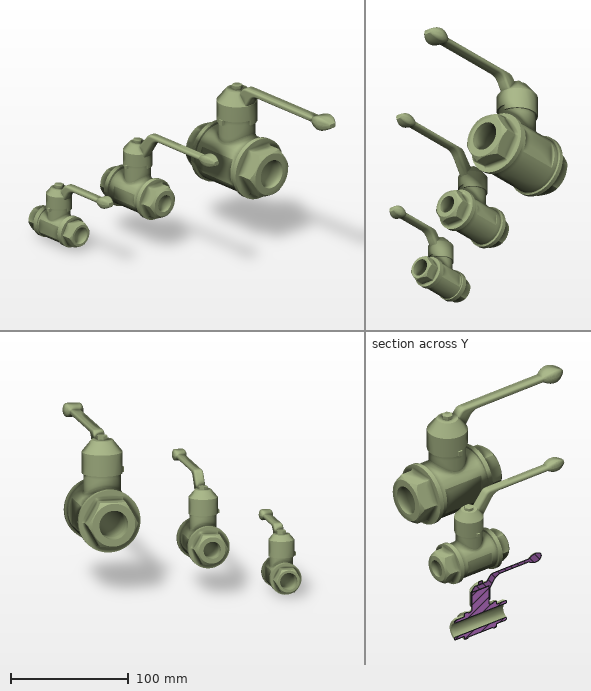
import cadquery as cq
import math

VALVES = {
    "three_eighths": dict(
        position=(-70.5, -140.0, -44.5),
        bore_diameter=15.0, body_diameter=25.0, half_length=28.0,
        flange_diameter=27.0, flange_width=4.5, flange_outer_x=17.6,
        hex_flats=19.8, hex_end_diameter=19.2, hex_root_fillet=0,
        plate_length=23.5, plate_y=11.0,
        neck_diameter=20.0, neck_fillet=1.5,
        tab_width=2.6, tab_height=3.0,
        cap_diameter=22.0, cap_bottom=16.7, cap_shoulder=31.0, cap_top=35.9, cap_top_diameter=14.0,
        screw_flats=7.5, screw_height=2.9,
        lever_width=8.4, lever_thickness=4.0, lever_height=40.3, lever_edge_fillet=1.95,
        upper_bend_x=11.2, lower_bend_x=17.6,
        knob_start=52.0, knob_end=66.3, knob_width=12.0, knob_thickness=9.2,
        knob_tip_width=5.3, knob_tip_thickness=3.7,
        knob_flat_width=6.2, knob_tip_flat_width=2.6,
    ),
    "half": dict(
        position=(-38.0, -79.3, -19.8),
        bore_diameter=15.0, body_diameter=32.0, half_length=34.5,
        flange_diameter=36.0, flange_width=4.0, flange_outer_x=22.5,
        hex_flats=25.3, hex_end_diameter=23.0, hex_root_fillet=2.0,
        plate_length=25.8, plate_y=15.0,
        neck_diameter=23.0, neck_fillet=2.5,
        tab_width=2.6, tab_height=3.0,
        cap_diameter=25.0, cap_bottom=25.0, cap_shoulder=39.5, cap_top=46.2, cap_top_diameter=13.6,
        screw_flats=7.5, screw_height=2.5,
        lever_width=8.4, lever_thickness=4.0, lever_height=57.2, lever_edge_fillet=1.95,
        upper_bend_x=17.5, lower_bend_x=25.0,
        knob_start=82.3, knob_end=100.4, knob_width=12.0, knob_thickness=9.7,
        knob_tip_width=5.3, knob_tip_thickness=3.7,
        knob_flat_width=6.8, knob_tip_flat_width=2.6,
    ),
    "one_inch": dict(
        position=(0.0, 0.0, 0.0),
        bore_diameter=25.0, body_diameter=50.0, half_length=44.3,
        flange_diameter=54.0, flange_width=4.0, flange_outer_x=28.5,
        hex_flats=38.3, hex_end_diameter=37.2, hex_root_fillet=2.0,
        plate_length=38.7, plate_y=22.0,
        neck_diameter=32.0, neck_fillet=2.5,
        tab_width=3.7, tab_height=4.6,
        cap_diameter=35.0, cap_bottom=36.5, cap_shoulder=55.0, cap_top=65.4, cap_top_diameter=18.5,
        screw_flats=8.4, screw_height=3.5,
        lever_width=10.0, lever_thickness=4.6, lever_height=68.5, lever_edge_fillet=1.8,
        upper_bend_x=13.0, lower_bend_x=24.5,
        knob_start=100.0, knob_end=121.7, knob_width=17.6, knob_thickness=11.7,
        knob_tip_width=6.5, knob_tip_thickness=3.7,
        knob_flat_width=10.5, knob_tip_flat_width=4.5,
    ),
}

TAB_PROJECTION = 1.3
UPPER_SLOPE = math.radians(51)
LOWER_SLOPE = math.radians(56)
UPPER_BEND_RADIUS = 6.5
LOWER_BEND_RADIUS = 9.7
SELECT_MARGIN = 0.2
LEVER_ROOT_DEPTH = 3.3


def x_cylinder(diameter, x_start, x_end):
    return cq.Workplane("YZ", origin=(x_start, 0, 0)).circle(diameter / 2).extrude(x_end - x_start)


def hex_end(v):
    """Hexagonal pipe end on +X with corners on the Y axis and a 45 degree end chamfer."""
    across_corners = v["hex_flats"] / math.cos(math.pi / 6)
    root_x = v["flange_outer_x"] - v["flange_width"] / 2
    hex_length = v["half_length"] - root_x
    hexagon = (
        cq.Workplane("YZ", origin=(root_x, 0, 0))
        .polygon(6, across_corners)
        .extrude(hex_length)
    )
    end_radius = v["hex_end_diameter"] / 2
    chamfer_cone = (
        cq.Workplane("XY")
        .polyline([
            (root_x, 0),
            (root_x, end_radius + hex_length),
            (v["half_length"], end_radius),
            (v["half_length"], 0),
        ])
        .close()
        .revolve(360, (0, 0, 0), (1, 0, 0))
    )
    flange = x_cylinder(v["flange_diameter"], v["flange_outer_x"] - v["flange_width"], v["flange_outer_x"])
    end = flange.union(hexagon.intersect(chamfer_cone))
    if v["hex_root_fillet"]:
        root_plane = cq.selectors.BoxSelector(
            (v["flange_outer_x"] - SELECT_MARGIN, -across_corners, -across_corners),
            (v["flange_outer_x"] + SELECT_MARGIN, across_corners, across_corners),
        )
        end = end.edges(root_plane).edges("%LINE").fillet(v["hex_root_fillet"])
    return end


def make_housing(v):
    flange_inner_x = v["flange_outer_x"] - v["flange_width"]
    barrel = x_cylinder(v["body_diameter"], -flange_inner_x, flange_inner_x)
    neck = cq.Workplane("XY").circle(v["neck_diameter"] / 2).extrude(v["cap_shoulder"])
    housing = barrel.union(neck)
    reach = v["neck_diameter"] / 2 + SELECT_MARGIN
    neck_foot = cq.selectors.BoxSelector(
        (-reach, -reach, SELECT_MARGIN),
        (reach, reach, v["body_diameter"] / 2 + SELECT_MARGIN),
        boundingbox=True,
    )
    housing = housing.edges(neck_foot).fillet(v["neck_fillet"])

    for side in (-1, 1):
        cut_depth = v["body_diameter"]
        plate_cut = cq.Workplane("XY").box(v["plate_length"], cut_depth, v["body_diameter"])
        housing = housing.cut(plate_cut.translate((0, side * (v["plate_y"] + cut_depth / 2), 0)))

    right_end = hex_end(v)
    housing = housing.union(right_end).union(right_end.mirror("YZ"))
    housing = housing.cut(x_cylinder(v["bore_diameter"], -v["half_length"], v["half_length"]))

    tab_reach = v["cap_diameter"] / 2 + TAB_PROJECTION
    tab = cq.Workplane("XY", origin=(0, -tab_reach / 2, v["cap_bottom"])).box(
        v["tab_width"], tab_reach, v["tab_height"], centered=(True, True, False)
    )
    return housing.union(tab)


def make_lever_arm(v):
    """Straight bar that bends down into the cap, with rounded long edges."""
    top = v["lever_height"] + v["lever_thickness"] / 2
    bottom = v["lever_height"] - v["lever_thickness"] / 2
    root = v["cap_shoulder"] - LEVER_ROOT_DEPTH
    upper_root_x = v["upper_bend_x"] - (top - root) / math.tan(UPPER_SLOPE)
    lower_root_x = v["lower_bend_x"] - (bottom - root) / math.tan(LOWER_SLOPE)
    arm = (
        cq.Workplane("XZ")
        .polyline([
            (upper_root_x, root),
            (v["upper_bend_x"], top),
            (v["knob_start"], top),
            (v["knob_start"], bottom),
            (v["lower_bend_x"], bottom),
            (lower_root_x, root),
        ])
        .close()
        .extrude(v["lever_width"] / 2, both=True)
    )
    arm = arm.edges(cq.NearestToPointSelector((v["upper_bend_x"], 0, top))).fillet(UPPER_BEND_RADIUS)
    arm = arm.edges(cq.NearestToPointSelector((v["lower_bend_x"], 0, bottom))).fillet(LOWER_BEND_RADIUS)
    long_edges = arm.faces("<Y or >Y").edges("not(<X or >X or <Z)")
    return long_edges.fillet(v["lever_edge_fillet"])


def knob_section(x, height, width, thickness, flat_width, flat_thickness):
    """Closed outline at x: flat top, bottom and sides joined by quarter-ellipse corners."""
    center_y = flat_width / 2
    center_z = flat_thickness / 2
    corner_y = (width - flat_width) / 2
    corner_z = (thickness - flat_thickness) / 2
    return (
        cq.Workplane("YZ", origin=(x, 0, height))
        .moveTo(-center_y, -thickness / 2)
        .lineTo(center_y, -thickness / 2)
        .ellipseArc(corner_y, corner_z, 270, 360, startAtCurrent=True)
        .lineTo(width / 2, center_z)
        .ellipseArc(corner_y, corner_z, 0, 90, startAtCurrent=True)
        .lineTo(-center_y, thickness / 2)
        .ellipseArc(corner_y, corner_z, 90, 180, startAtCurrent=True)
        .lineTo(-width / 2, -center_z)
        .ellipseArc(corner_y, corner_z, 180, 270, startAtCurrent=True)
        .close()
        .val()
    )


def make_knob(v):
    """Bulging grip lofted from the end of the lever to a blunt tip."""
    middle_x = (v["knob_start"] + v["knob_end"]) / 2
    height = v["lever_height"]
    start_flat_width = v["lever_width"] - 2 * v["lever_edge_fillet"]
    flat_thickness = v["lever_thickness"] - 2 * v["lever_edge_fillet"]
    sections = [
        (v["knob_start"], v["lever_width"], v["lever_thickness"], start_flat_width),
        (middle_x, v["knob_width"], v["knob_thickness"], v["knob_flat_width"]),
        (v["knob_end"], v["knob_tip_width"], v["knob_tip_thickness"], v["knob_tip_flat_width"]),
    ]
    outlines = [
        knob_section(x, height, width, thickness, flat_width, flat_thickness)
        for x, width, thickness, flat_width in sections
    ]
    return cq.Workplane(cq.Solid.makeLoft(outlines))


def make_handle(v):
    cap_radius = v["cap_diameter"] / 2
    cap = (
        cq.Workplane("XZ")
        .polyline([
            (0, v["cap_bottom"]),
            (cap_radius, v["cap_bottom"]),
            (cap_radius, v["cap_shoulder"]),
            (v["cap_top_diameter"] / 2, v["cap_top"]),
            (0, v["cap_top"]),
        ])
        .close()
        .revolve(360, (0, 0, 0), (0, 1, 0))
    )
    handle = cap.union(make_lever_arm(v)).union(make_knob(v))

    socket = (
        cq.Workplane("XY", origin=(0, 0, v["cap_bottom"]))
        .circle(v["neck_diameter"] / 2)
        .extrude(v["cap_shoulder"] - v["cap_bottom"])
    )
    handle = handle.cut(socket)

    notch = cq.Workplane("XY", origin=(-v["tab_width"] / 2, 0, v["cap_bottom"])).box(
        v["cap_diameter"], v["cap_diameter"], v["tab_height"], centered=False
    )
    return handle.cut(notch.translate((0, -v["cap_diameter"], 0)))


def make_screw(v):
    across_corners = v["screw_flats"] / math.cos(math.pi / 6)
    return (
        cq.Workplane("XY", origin=(0, 0, v["cap_top"]))
        .polygon(6, across_corners)
        .extrude(v["screw_height"])
    )


bodies = []
for valve in VALVES.values():
    for make_body in (make_housing, make_handle, make_screw):
        bodies.append(make_body(valve).translate(valve["position"]).solids().val())

result = cq.Compound.makeCompound(bodies)